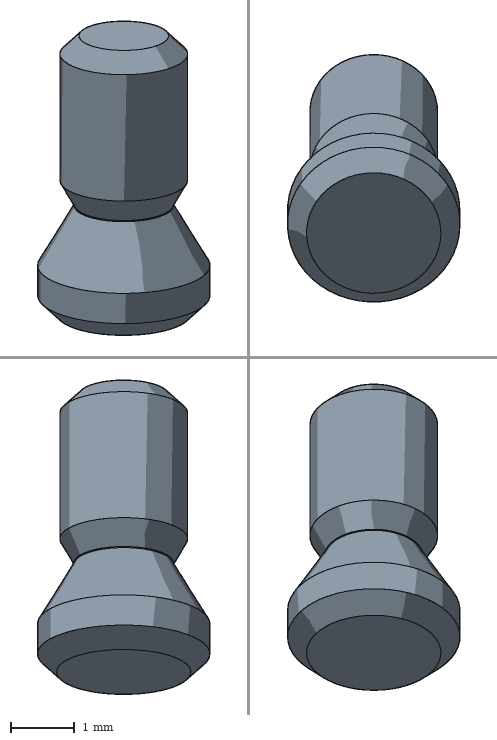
import cadquery as cq

total_height = 4.6
head_diameter = 2.7
shank_diameter = 2.0
neck_diameter = 1.555
edge_chamfer = 0.3

head_rim_top = 0.8
neck_bottom = 1.79
neck_length = 0.02
shank_bottom = 2.21

head_radius = head_diameter / 2
shank_radius = shank_diameter / 2
neck_radius = neck_diameter / 2

half_section = [
    (0, 0),
    (head_radius - edge_chamfer, 0),
    (head_radius, edge_chamfer),
    (head_radius, head_rim_top),
    (neck_radius, neck_bottom),
    (neck_radius, neck_bottom + neck_length),
    (shank_radius, shank_bottom),
    (shank_radius, total_height - edge_chamfer),
    (shank_radius - edge_chamfer, total_height),
    (0, total_height),
]

result = cq.Workplane("XZ").polyline(half_section).close().revolve(360, (0, 0), (0, 1))